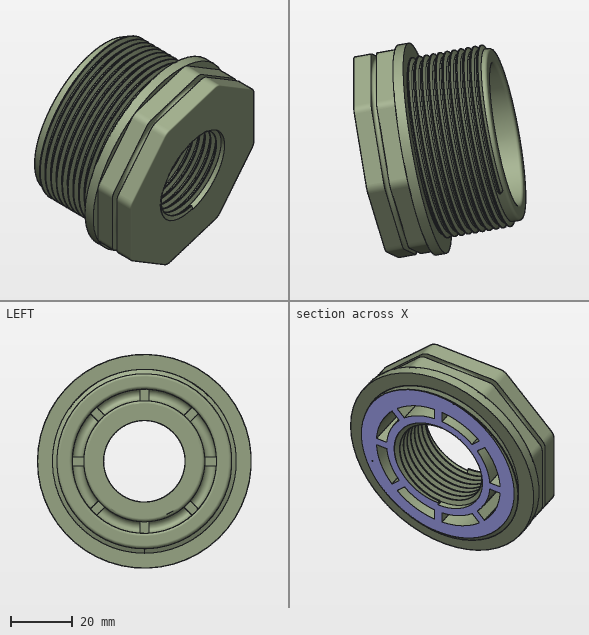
import cadquery as cq
import math

TOTAL_LENGTH = 43.5
FLANGE_START = 26.4
FLANGE_THICKNESS = 3.4
GRIP_GROOVE_CENTRE = 36.7
GRIP_GROOVE_WIDTH = 1.8
HUB_START = 19.3
HUB_LEDGE_LENGTH = 4.5

FLANGE_RADIUS = 34.7
GRIP_SIDES = 8
GRIP_ACROSS_FLATS = 64.55
GRIP_CORNER_RADIUS = 3.8
GRIP_END_FILLET = 0.4
GRIP_GROOVE_RADIUS = 30.9
TUBE_RADIUS = 28.4
TUBE_BORE_RADIUS = 23.4
HUB_RADIUS = 19.65
HUB_HOLE_RADIUS = 13.2
RIM_FILLET = 1.0

RIB_COUNT = 8
RIB_WIDTH = 2.9
RIB_START = HUB_START + RIM_FILLET

THREAD_PITCH = 2.309
THREAD_DEPTH = 1.45
RIDGE_BASE_WIDTH = 1.8
RIDGE_CREST_WIDTH = 0.35
RIDGE_OVERLAP = 0.15
OUTER_THREAD_START = 2.15
OUTER_THREAD_TURNS = 11
INNER_THREAD_START = 24.4
INNER_THREAD_TURNS = 8
INNER_THREAD_ROOT_RADIUS = 16.65

WALL_THICKNESS = TUBE_RADIUS - TUBE_BORE_RADIUS
FLANGE_END = FLANGE_START + FLANGE_THICKNESS
HUB_LEDGE_END = HUB_START + HUB_LEDGE_LENGTH
CHANNEL_END = TOTAL_LENGTH - WALL_THICKNESS


def cylinder(start, end, radius):
    """Solid cylinder along the X axis."""
    return cq.Workplane("YZ", origin=(start, 0, 0)).circle(radius).extrude(end - start)


def make_grip():
    """Octagonal wrench grip with rounded corners and a round-bottomed groove."""
    corner_diameter = GRIP_ACROSS_FLATS / math.cos(math.pi / GRIP_SIDES)
    grip = (
        cq.Workplane("YZ", origin=(FLANGE_START, 0, 0))
        .transformed(rotate=(0, 0, 180 / GRIP_SIDES))
        .polygon(GRIP_SIDES, corner_diameter)
        .extrude(TOTAL_LENGTH - FLANGE_START)
        .edges("|X")
        .fillet(GRIP_CORNER_RADIUS)
        .faces(">X")
        .edges()
        .fillet(GRIP_END_FILLET)
    )
    half_width = GRIP_GROOVE_WIDTH / 2
    groove_start = GRIP_GROOVE_CENTRE - half_width
    groove_end = GRIP_GROOVE_CENTRE + half_width
    wall_radius = GRIP_GROOVE_RADIUS + half_width
    groove = (
        cq.Workplane("XY")
        .moveTo(groove_start, FLANGE_RADIUS)
        .lineTo(groove_start, wall_radius)
        .threePointArc((GRIP_GROOVE_CENTRE, GRIP_GROOVE_RADIUS), (groove_end, wall_radius))
        .lineTo(groove_end, FLANGE_RADIUS)
        .close()
        .revolve(360, (0, 0, 0), (1, 0, 0))
    )
    return grip.cut(groove)


def make_ribs():
    """Radial ribs that bridge the channel between the hub and the tube wall."""
    inner = HUB_RADIUS - RIM_FILLET
    outer = TUBE_BORE_RADIUS + RIM_FILLET
    rib = (
        cq.Workplane("XY")
        .box(CHANNEL_END - RIB_START, RIB_WIDTH, outer - inner, centered=(False, True, False))
        .translate((RIB_START, 0, inner))
    )
    ribs = cq.Workplane("XY")
    for index in range(RIB_COUNT):
        ribs = ribs.add(rib.rotate((0, 0, 0), (1, 0, 0), index * 360 / RIB_COUNT))
    return ribs.combine()


def make_bore():
    """Cavity of the tube: rounded mouth, then a ribbed round-bottomed channel around the hub."""
    channel_radius = (TUBE_BORE_RADIUS - HUB_RADIUS) / 2
    channel_middle = (TUBE_BORE_RADIUS + HUB_RADIUS) / 2
    floor_centre = CHANNEL_END - channel_radius
    arc_inset = RIM_FILLET * (1 - math.sqrt(0.5))
    cavity = (
        cq.Workplane("XY")
        .lineTo(0, TUBE_BORE_RADIUS + RIM_FILLET)
        .threePointArc(
            (arc_inset, TUBE_BORE_RADIUS + arc_inset),
            (RIM_FILLET, TUBE_BORE_RADIUS),
        )
        .lineTo(floor_centre, TUBE_BORE_RADIUS)
        .threePointArc((CHANNEL_END, channel_middle), (floor_centre, HUB_RADIUS))
        .lineTo(HUB_START + RIM_FILLET, HUB_RADIUS)
        .threePointArc(
            (HUB_START + arc_inset, HUB_RADIUS - arc_inset),
            (HUB_START, HUB_RADIUS - RIM_FILLET),
        )
        .lineTo(HUB_START, 0)
        .close()
        .revolve(360, (0, 0, 0), (1, 0, 0))
    )
    return cavity.cut(make_ribs())


def make_thread(start, turns, root_radius, crest_radius):
    """Right-hand helical ridge along X whose middle begins at the lowest point (-Z)."""
    outward = math.copysign(1, crest_radius - root_radius)
    flank_run = (RIDGE_BASE_WIDTH - RIDGE_CREST_WIDTH) / 2
    buried_radius = root_radius - outward * RIDGE_OVERLAP
    buried_half = RIDGE_BASE_WIDTH / 2 + RIDGE_OVERLAP * flank_run / THREAD_DEPTH
    crest_half = RIDGE_CREST_WIDTH / 2
    one_turn = cq.Wire.makeHelix(THREAD_PITCH, THREAD_PITCH, root_radius).Edges()[0]
    path = cq.Wire.assembleEdges(
        [one_turn.translate(cq.Vector(0, 0, turn * THREAD_PITCH)) for turn in range(turns)]
    )
    ridge = (
        cq.Workplane("XZ")
        .moveTo(buried_radius, -buried_half)
        .lineTo(crest_radius, -crest_half)
        .lineTo(crest_radius, crest_half)
        .lineTo(buried_radius, buried_half)
        .close()
        .sweep(cq.Workplane("XY").add(path), isFrenet=True)
    )
    return ridge.rotate((0, 0, 0), (0, 1, 0), 90).translate((start, 0, 0))


def make_threaded_tube():
    """Tube with a rounded end and the outer thread running up to the flange."""
    tube = cylinder(0, FLANGE_END, TUBE_RADIUS).faces("<X").edges().fillet(RIM_FILLET)
    crest_radius = TUBE_RADIUS + THREAD_DEPTH
    thread = make_thread(OUTER_THREAD_START, OUTER_THREAD_TURNS, TUBE_RADIUS, crest_radius)
    return tube.union(thread).intersect(cylinder(0, FLANGE_START, FLANGE_RADIUS))


def make_threaded_socket():
    """Cavity of the female thread, open at the grip end."""
    socket = cylinder(HUB_LEDGE_END, TOTAL_LENGTH, INNER_THREAD_ROOT_RADIUS)
    crest_radius = INNER_THREAD_ROOT_RADIUS - THREAD_DEPTH
    thread = make_thread(
        INNER_THREAD_START, INNER_THREAD_TURNS, INNER_THREAD_ROOT_RADIUS, crest_radius
    )
    return socket.cut(thread)


flange = cylinder(FLANGE_START, FLANGE_END, FLANGE_RADIUS)
hub_hole = cylinder(HUB_START, HUB_LEDGE_END, HUB_HOLE_RADIUS)

body = flange.union(make_grip()).union(make_threaded_tube(), clean=False)
for cavity in (make_bore(), hub_hole, make_threaded_socket()):
    body = body.cut(cavity, clean=False)
result = cq.Workplane(body.solids().val())